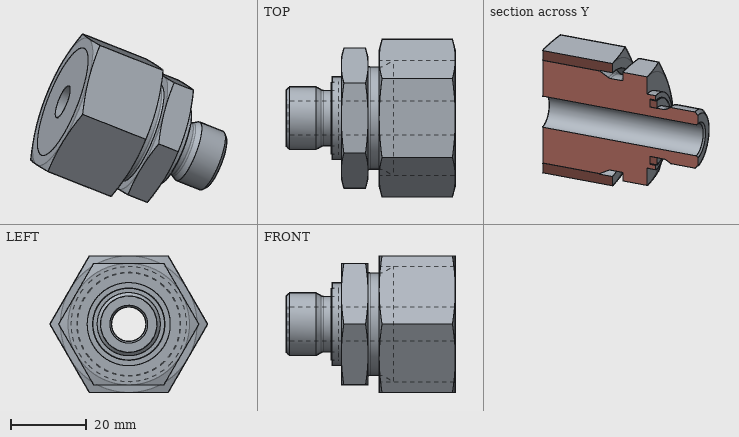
import cadquery as cq
import math

TOTAL_LENGTH = 44.5

THREAD_RADIUS = 8.3
THREAD_CHAMFER = 0.9
THREAD_END_X = 7.8
BORE_RADIUS = 4.5
BORE_CHAMFER = 0.5

STUD_RELIEF_RADIUS = 7.35
SHANK_RELIEF_RADIUS = 13.55
SHANK_RELIEF_FLAT_LENGTH = 2.9
RELIEF_CONE_ANGLE = math.radians(30)
RELIEF_BLEND_RADIUS = 1.2

COLLAR_RADIUS = 10.95
COLLAR_FACE_X = 12.05
RING_RADIUS = 9.45
RING_LENGTH = 1.95
RING_CLEARANCE = 0.1
RING_PROTRUSION = 0.3
RING_FACE_X = COLLAR_FACE_X - RING_PROTRUSION
RING_SEAT_X = RING_FACE_X + RING_LENGTH

BODY_HEX_X = 14.5
BODY_HEX_LENGTH = 7.05
BODY_HEX_FLATS = 32.0
SHANK_THREAD_RADIUS = 15.17

NUT_X = 24.48
NUT_LENGTH = TOTAL_LENGTH - NUT_X
NUT_FLATS = 36.0

HEX_CHAMFER_ANGLE = math.radians(15)

BLEND_LENGTH = RELIEF_BLEND_RADIUS * math.sin(RELIEF_CONE_ANGLE)
BLEND_RISE = RELIEF_BLEND_RADIUS * (1 - math.cos(RELIEF_CONE_ANGLE))
BLEND_MID_LENGTH = RELIEF_BLEND_RADIUS * math.sin(RELIEF_CONE_ANGLE / 2)
BLEND_MID_RISE = RELIEF_BLEND_RADIUS * (1 - math.cos(RELIEF_CONE_ANGLE / 2))


def revolve_about_x(profile):
    """Turn a closed (X, radius) profile a full turn about the X axis."""
    return profile.close().revolve(360, (0, 0, 0), (1, 0, 0))


def cylinder(start_x, end_x, radius):
    """Solid cylinder along the X axis."""
    return cq.Workplane("YZ", origin=(start_x, 0, 0)).circle(radius).extrude(end_x - start_x)


def chamfered_hexagon(start_x, length, flats):
    """Hexagonal prism with corners on +-Y, both ends turned down to a round face touching the flats."""
    face_radius = flats / 2
    corner_diameter = flats / math.cos(math.radians(30))
    corner_radius = corner_diameter / 2
    end_x = start_x + length
    chamfer_length = (corner_radius - face_radius) * math.tan(HEX_CHAMFER_ANGLE)
    prism = cq.Workplane("YZ", origin=(start_x, 0, 0)).polygon(6, corner_diameter).extrude(length)
    envelope = revolve_about_x(
        cq.Workplane("XY")
        .moveTo(start_x, 0)
        .lineTo(start_x, face_radius)
        .lineTo(start_x + chamfer_length, corner_radius)
        .lineTo(end_x - chamfer_length, corner_radius)
        .lineTo(end_x, face_radius)
        .lineTo(end_x, 0)
    )
    return prism.intersect(envelope)


def cone_length(thread_radius, relief_radius):
    """Length along X of the straight cone between a thread and the blend into its relief."""
    return (thread_radius - relief_radius - BLEND_RISE) / math.tan(RELIEF_CONE_ANGLE)


def make_stud():
    """Chamfered thread, its conical run-out and the relief groove up to the collar."""
    cone_end_x = THREAD_END_X + cone_length(THREAD_RADIUS, STUD_RELIEF_RADIUS)
    blend_end_x = cone_end_x + BLEND_LENGTH
    return revolve_about_x(
        cq.Workplane("XY")
        .lineTo(0, THREAD_RADIUS - THREAD_CHAMFER)
        .lineTo(THREAD_CHAMFER, THREAD_RADIUS)
        .lineTo(THREAD_END_X, THREAD_RADIUS)
        .lineTo(cone_end_x, STUD_RELIEF_RADIUS + BLEND_RISE)
        .threePointArc(
            (blend_end_x - BLEND_MID_LENGTH, STUD_RELIEF_RADIUS + BLEND_MID_RISE),
            (blend_end_x, STUD_RELIEF_RADIUS),
        )
        .lineTo(COLLAR_FACE_X, STUD_RELIEF_RADIUS)
        .lineTo(COLLAR_FACE_X, 0)
    )


def make_shank():
    """Relief groove behind the body hexagon, rising on a cone to the shank that fills the nut."""
    hex_end_x = BODY_HEX_X + BODY_HEX_LENGTH
    flat_start_x = hex_end_x + BLEND_LENGTH
    flat_end_x = flat_start_x + SHANK_RELIEF_FLAT_LENGTH
    cone_start_x = flat_end_x + BLEND_LENGTH
    thread_start_x = cone_start_x + cone_length(SHANK_THREAD_RADIUS, SHANK_RELIEF_RADIUS)
    return revolve_about_x(
        cq.Workplane("XY")
        .moveTo(hex_end_x, 0)
        .lineTo(hex_end_x, SHANK_RELIEF_RADIUS + BLEND_RISE)
        .threePointArc(
            (flat_start_x - BLEND_MID_LENGTH, SHANK_RELIEF_RADIUS + BLEND_MID_RISE),
            (flat_start_x, SHANK_RELIEF_RADIUS),
        )
        .lineTo(flat_end_x, SHANK_RELIEF_RADIUS)
        .threePointArc(
            (flat_end_x + BLEND_MID_LENGTH, SHANK_RELIEF_RADIUS + BLEND_MID_RISE),
            (cone_start_x, SHANK_RELIEF_RADIUS + BLEND_RISE),
        )
        .lineTo(thread_start_x, SHANK_THREAD_RADIUS)
        .lineTo(TOTAL_LENGTH, SHANK_THREAD_RADIUS)
        .lineTo(TOTAL_LENGTH, 0)
    )


def make_bore():
    """Through bore, chamfered at the threaded end."""
    return revolve_about_x(
        cq.Workplane("XY")
        .lineTo(0, BORE_RADIUS + BORE_CHAMFER)
        .lineTo(BORE_CHAMFER, BORE_RADIUS)
        .lineTo(TOTAL_LENGTH, BORE_RADIUS)
        .lineTo(TOTAL_LENGTH, 0)
    )


def make_sealing_ring():
    """Flat ring around the relief, standing slightly proud of the collar face."""
    outer = cylinder(RING_FACE_X, RING_SEAT_X, RING_RADIUS)
    return outer.cut(cylinder(RING_FACE_X, RING_SEAT_X, STUD_RELIEF_RADIUS))


def make_ring_recess():
    """Annular recess in the collar face, a little wider than the sealing ring."""
    outer = cylinder(COLLAR_FACE_X, RING_SEAT_X, RING_RADIUS + RING_CLEARANCE)
    return outer.cut(cylinder(COLLAR_FACE_X, RING_SEAT_X, STUD_RELIEF_RADIUS))


def make_fitting_body():
    """Stud, collar, hexagon and shank in one piece, with a recess for the sealing ring."""
    collar = cylinder(COLLAR_FACE_X, BODY_HEX_X, COLLAR_RADIUS)
    hexagon = chamfered_hexagon(BODY_HEX_X, BODY_HEX_LENGTH, BODY_HEX_FLATS)
    solid_body = make_stud().union(collar).union(hexagon).union(make_shank())
    return solid_body.cut(make_ring_recess()).cut(make_bore())


def make_nut():
    """Hexagonal nut with a plain hole that fits the threaded shank."""
    hexagon = chamfered_hexagon(NUT_X, NUT_LENGTH, NUT_FLATS)
    return hexagon.cut(cylinder(NUT_X, TOTAL_LENGTH, SHANK_THREAD_RADIUS))


fitting_body = make_fitting_body()
sealing_ring = make_sealing_ring()
nut = make_nut()

result = cq.Compound.makeCompound([fitting_body.val(), sealing_ring.val(), nut.val()])